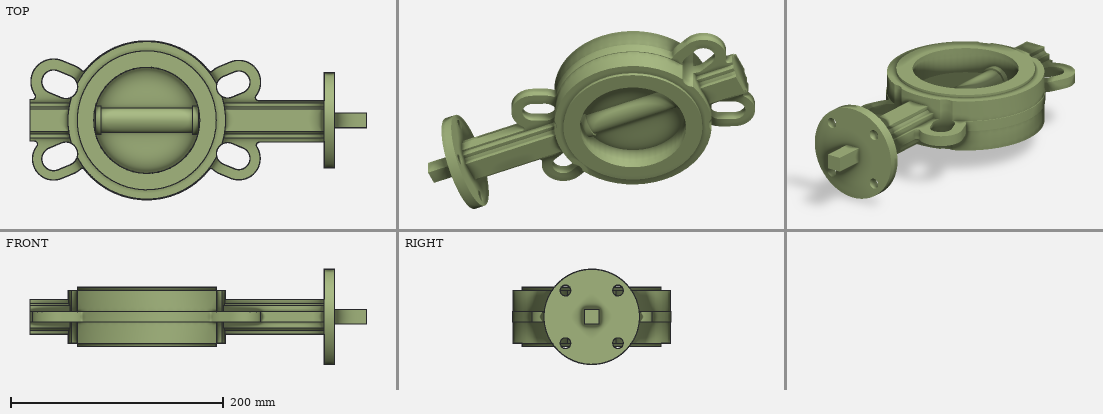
import cadquery as cq
import math


bore_diameter = 100.0
ring_diameter = 148.5
ring_height = 50.0
seat_face_diameter = 131.0
face_to_face = 56.0

web_thickness = 10.0
web_diameter = 150.0
rib_width = 39.3
outlet_rib_offset = -1.0
band_fillet = 2.0
rib_fillet = 2.8
corner_tolerance = 0.1
rib_margin = 2.0

foot_end_x = -110.0
neck_size = 33.0
neck_flat_width = 21.0

flange_face_x = 167.0
flange_diameter = 90.0
flange_thickness = 10.0
flange_bolt_circle = 70.0
flange_hole_diameter = 10.0
flange_hole_count = 4
drive_square = 14.0
drive_length = 30.0

lug_angle = 22.5
slot_inner_distance = 82.5
foot_slot = (11.0, 95.0)
flange_slot = (10.5, 93.8)
lugs = [
    (-1, 1, *foot_slot, 21.5),
    (-1, -1, *foot_slot, 20.0),
    (1, 1, *flange_slot, 20.7),
    (1, -1, *flange_slot, 20.3),
]

disc_thickness = 7.0
hub_diameter = 24.0
collar_diameter = 28.0
collar_inner_x = 43.0
collar_outer_x = 48.5


def cylinder_z(diameter, height):
    """Cylinder on the flow axis, centred at mid height."""
    return cq.Workplane("XY").circle(diameter / 2).extrude(height / 2, both=True)


def cylinder_x(diameter, x_start, x_end):
    """Cylinder on the stem axis."""
    return cq.Workplane("YZ", origin=(x_start, 0, 0)).circle(diameter / 2).extrude(x_end - x_start)


def bar_x(width_y, height_z, x_start, x_end, y_centre=0.0):
    """Rectangular bar along the stem axis, centred at mid height."""
    section = cq.Workplane("YZ", origin=(x_start, y_centre, 0)).rect(width_y, height_z)
    return section.extrude(x_end - x_start)


def radial_slot(x_side, y_side, radius, outer_distance, height):
    """Round-ended prism lying on the radial line of one lug."""
    direction = math.degrees(math.atan2(
        y_side * math.sin(math.radians(lug_angle)),
        x_side * math.cos(math.radians(lug_angle)),
    ))
    length = outer_distance - slot_inner_distance + 2 * radius
    middle = (outer_distance + slot_inner_distance) / 2
    slot = cq.Workplane("XY").center(middle, 0).slot2D(length, 2 * radius)
    return slot.extrude(height / 2, both=True).rotate((0, 0, 0), (0, 0, 1), direction)


def round_inner_corners(web):
    """Fillet the corners where each lug meets the ring band and its rib."""
    band_corners = []
    rib_corners = []
    for edge in web.edges("|Z").vals():
        middle = edge.Center()
        from_band = abs(math.hypot(middle.x, middle.y) - web_diameter / 2)
        if from_band < corner_tolerance:
            band_corners.append(edge)
        elif abs(middle.y) < rib_width / 2 + rib_margin and foot_end_x + rib_margin < middle.x < -foot_end_x:
            rib_corners.append(edge)
    web = web.newObject(band_corners).fillet(band_fillet)
    return web.newObject(rib_corners).fillet(rib_fillet)


def make_web():
    """Thin mid-height plate: ring band, neck ribs and lugs, with rounded inner corners."""
    web = cylinder_z(web_diameter, web_thickness)
    web = web.union(bar_x(rib_width, web_thickness, foot_end_x, 0))
    web = web.union(bar_x(rib_width, web_thickness, 0, flange_face_x, outlet_rib_offset))
    for x_side, y_side, _, outer_distance, lug_radius in lugs:
        web = web.union(radial_slot(x_side, y_side, lug_radius, outer_distance, web_thickness))
    return round_inner_corners(web)


def make_neck(x_start, x_end):
    """Round neck with four flat-topped ridges."""
    neck = cylinder_x(neck_size, x_start, x_end)
    neck = neck.union(bar_x(neck_flat_width, neck_size, x_start, x_end))
    return neck.union(bar_x(neck_size, neck_flat_width, x_start, x_end))


def make_flange():
    """Actuator flange with its bolt holes."""
    flange = cylinder_x(flange_diameter, flange_face_x, flange_face_x + flange_thickness)
    holes = (
        cq.Workplane("YZ", origin=(flange_face_x, 0, 0))
        .polarArray(flange_bolt_circle / 2, 45, 360, flange_hole_count)
        .circle(flange_hole_diameter / 2)
        .extrude(flange_thickness)
    )
    return flange.cut(holes)


def make_housing():
    """Ring, web, necks, flange and square drive, with the lug slots and the bore cut through."""
    drive_start = flange_face_x + flange_thickness
    housing = cylinder_z(ring_diameter, ring_height)
    housing = housing.union(cylinder_z(seat_face_diameter, face_to_face))
    housing = housing.union(make_web())
    housing = housing.union(make_neck(foot_end_x, 0))
    housing = housing.union(make_neck(0, flange_face_x))
    housing = housing.union(make_flange())
    housing = housing.union(bar_x(drive_square, drive_square, drive_start, drive_start + drive_length))
    for x_side, y_side, slot_radius, outer_distance, _ in lugs:
        housing = housing.cut(radial_slot(x_side, y_side, slot_radius, outer_distance, ring_height))
    return housing.cut(cylinder_z(bore_diameter, face_to_face))


def make_disc():
    """Round disc with a hub across it and a collar at each hub end."""
    disc = cylinder_z(bore_diameter, disc_thickness)
    disc = disc.union(cylinder_x(hub_diameter, -collar_inner_x, collar_inner_x))
    disc = disc.union(cylinder_x(collar_diameter, collar_inner_x, collar_outer_x))
    disc = disc.union(cylinder_x(collar_diameter, -collar_outer_x, -collar_inner_x))
    return disc.intersect(cylinder_z(bore_diameter, face_to_face))


housing = make_housing()
disc = make_disc()
result = cq.Compound.makeCompound([housing.val(), disc.val()])